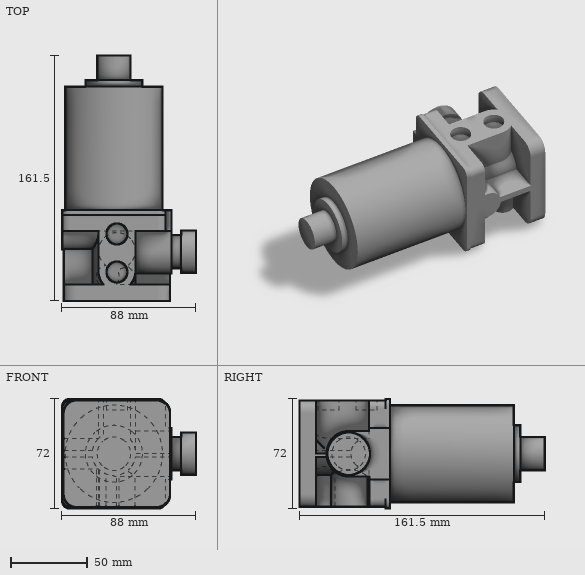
import cadquery as cq
MOTOR_X = -2.0

COVER_BACK_Y = 11.0
PLATE_FRONT_Y = 46.0
PLATE_THICKNESS = 10.7
RIM_THICKNESS = 3.0
RIM_FRONT_Y = PLATE_FRONT_Y + PLATE_THICKNESS
PLATE_BACK_Y = RIM_FRONT_Y + RIM_THICKNESS
MOTOR_BACK_Y = 141.0
COLLAR_BACK_Y = 145.3
SHAFT_END_Y = 161.5

COVER_SIZE = 70.0
COVER_CORNER_RADIUS = 8.0
PLATE_WIDTH = 68.0
PLATE_HEIGHT = COVER_SIZE
RIM_HEIGHT = 72.0
PLATE_CORNER_RADIUS = 5.0
PLATE_LEFT_X = MOTOR_X - PLATE_WIDTH / 2

MOTOR_RADIUS = 32.0
COLLAR_RADIUS = 18.75
SHAFT_RADIUS = 11.0

BODY_TOP_Z = COVER_SIZE / 2
BODY_BOTTOM_Z = -COVER_SIZE / 2
SPINE_RADIUS = 14.3
WEB_THICKNESS = 4.4

COLUMN_RADIUS = 12.1
PORT_RADIUS = 6.9
PORT_DEPTH = 6.4
FRONT_PORT_Y = 19.1
PORT_SPACING = 25.0
PORT_COUNT = 2

LEFT_BOSS_RADIUS = 10.0
LEFT_BOSS_CENTRE_Y = 44.0
RIGHT_BOSS_END_X = 36.0
RIGHT_BOSS_RADIUS = 15.0
RIGHT_BOSS_CENTRE_Y = 33.0
RIGHT_PAD_HEIGHT = 34.0

LARGE_POST_X = 0.0
LARGE_POST_Y = RIGHT_BOSS_CENTRE_Y
LARGE_POST_RADIUS = 12.0
SMALL_POST_X = -6.0
SMALL_POST_Y = 16.0
SMALL_POST_RADIUS = 7.5

KNOB_Y = 32.5
NECK_RADIUS = 11.0
NECK_LENGTH = 6.2
KNOB_RADIUS = 14.0
KNOB_END_X = 52.0


def box_between(x_range, y_range, z_range):
    """Axis-aligned box from its limits along X, Y and Z."""
    sizes = [high - low for low, high in (x_range, y_range, z_range)]
    corner = (x_range[0], y_range[0], z_range[0])
    return cq.Workplane("XY").box(*sizes, centered=False).translate(corner)


def cylinder_y(x, radius, y_start, y_end):
    """Cylinder along Y at height Z = 0."""
    axis_start = cq.Vector(x, y_start, 0)
    return cq.Workplane(cq.Solid.makeCylinder(radius, y_end - y_start, axis_start, cq.Vector(0, 1, 0)))


def cylinder_x(y, radius, x_start, x_end):
    """Cylinder along X at height Z = 0."""
    axis_start = cq.Vector(x_start, y, 0)
    return cq.Workplane(cq.Solid.makeCylinder(radius, x_end - x_start, axis_start, cq.Vector(1, 0, 0)))


def cylinder_z(x, y, radius, z_start, z_end):
    """Upright cylinder."""
    axis_start = cq.Vector(x, y, z_start)
    return cq.Workplane(cq.Solid.makeCylinder(radius, z_end - z_start, axis_start, cq.Vector(0, 0, 1)))


def rounded_plate(x_centre, width, height, radius, y_start, y_end):
    """Plate facing Y with rounded corners, centred on Z = 0."""
    plate = box_between(
        (x_centre - width / 2, x_centre + width / 2),
        (y_start, y_end),
        (-height / 2, height / 2),
    )
    return plate.edges("|Y").fillet(radius)


def front_cover():
    return rounded_plate(0, COVER_SIZE, COVER_SIZE, COVER_CORNER_RADIUS, 0, COVER_BACK_Y)


def mounting_plate():
    plate = rounded_plate(
        MOTOR_X, PLATE_WIDTH, PLATE_HEIGHT, PLATE_CORNER_RADIUS, PLATE_FRONT_Y, PLATE_BACK_Y
    )
    rim = rounded_plate(
        MOTOR_X, PLATE_WIDTH, RIM_HEIGHT, PLATE_CORNER_RADIUS, RIM_FRONT_Y, PLATE_BACK_Y
    )
    return plate.union(rim)


def motor():
    housing = cylinder_y(MOTOR_X, MOTOR_RADIUS, PLATE_BACK_Y, MOTOR_BACK_Y)
    collar = cylinder_y(MOTOR_X, COLLAR_RADIUS, MOTOR_BACK_Y, COLLAR_BACK_Y)
    shaft = cylinder_y(MOTOR_X, SHAFT_RADIUS, COLLAR_BACK_Y, SHAFT_END_Y)
    return housing.union(collar).union(shaft)


def spine_and_webs():
    """Round spine on the motor axis, with a flat web on each side joining the cover to a boss.

    The right web fills only the lower half of the web thickness.
    """
    spine = cylinder_y(MOTOR_X, SPINE_RADIUS, COVER_BACK_Y, PLATE_FRONT_Y)
    left_web = box_between(
        (-COVER_SIZE / 2, MOTOR_X),
        (COVER_BACK_Y, LEFT_BOSS_CENTRE_Y),
        (-WEB_THICKNESS / 2, WEB_THICKNESS / 2),
    )
    right_web = box_between(
        (MOTOR_X, COVER_SIZE / 2),
        (COVER_BACK_Y, RIGHT_BOSS_CENTRE_Y),
        (-WEB_THICKNESS / 2, 0),
    )
    return spine.union(left_web).union(right_web)


def column():
    """Upright column, rounded where it runs into the cover."""
    straight = box_between(
        (-COLUMN_RADIUS, COLUMN_RADIUS), (FRONT_PORT_Y, PLATE_FRONT_Y), (0, BODY_TOP_Z)
    )
    nose = cylinder_z(0, FRONT_PORT_Y, COLUMN_RADIUS, 0, BODY_TOP_Z)
    return straight.union(nose)


def post(x, y, radius):
    """Round post hanging from the spine."""
    return cylinder_z(x, y, radius, BODY_BOTTOM_Z, 0)


def half_round_rib(x_range, nose_y, radius, y_back):
    """Rib along X: half-round towards the cover, square from nose_y to y_back."""
    rib = box_between(x_range, (nose_y, y_back), (-radius, radius))
    front_half = box_between(x_range, (nose_y - radius, nose_y), (-radius, radius))
    nose = cylinder_x(nose_y, radius, *x_range).intersect(front_half)
    return rib.union(nose)


def left_boss():
    """Half-round rib running from the spine to the left edge of the mounting plate."""
    return half_round_rib(
        (PLATE_LEFT_X, MOTOR_X), LEFT_BOSS_CENTRE_Y, LEFT_BOSS_RADIUS, PLATE_FRONT_Y
    )


def right_boss():
    """Half-round boss, with a taller pad beside the mounting plate behind it."""
    x_range = (MOTOR_X, RIGHT_BOSS_END_X)
    boss = half_round_rib(x_range, RIGHT_BOSS_CENTRE_Y, RIGHT_BOSS_RADIUS, PLATE_FRONT_Y)
    pad = box_between(
        x_range,
        (PLATE_FRONT_Y, PLATE_BACK_Y),
        (-RIGHT_PAD_HEIGHT / 2, RIGHT_PAD_HEIGHT / 2),
    )
    return boss.union(pad)


def knob():
    neck_end_x = RIGHT_BOSS_END_X + NECK_LENGTH
    neck = cylinder_x(KNOB_Y, NECK_RADIUS, RIGHT_BOSS_END_X, neck_end_x)
    head = cylinder_x(KNOB_Y, KNOB_RADIUS, neck_end_x, KNOB_END_X)
    return neck.union(head)


def port(y):
    """Blind port bored down from the top of the column."""
    return cylinder_z(0, y, PORT_RADIUS, BODY_TOP_Z - PORT_DEPTH, BODY_TOP_Z)


result = front_cover()
for feature in (
    mounting_plate(),
    motor(),
    spine_and_webs(),
    column(),
    post(LARGE_POST_X, LARGE_POST_Y, LARGE_POST_RADIUS),
    post(SMALL_POST_X, SMALL_POST_Y, SMALL_POST_RADIUS),
    left_boss(),
    right_boss(),
    knob(),
):
    result = result.union(feature)
for port_index in range(PORT_COUNT):
    result = result.cut(port(FRONT_PORT_Y + port_index * PORT_SPACING))